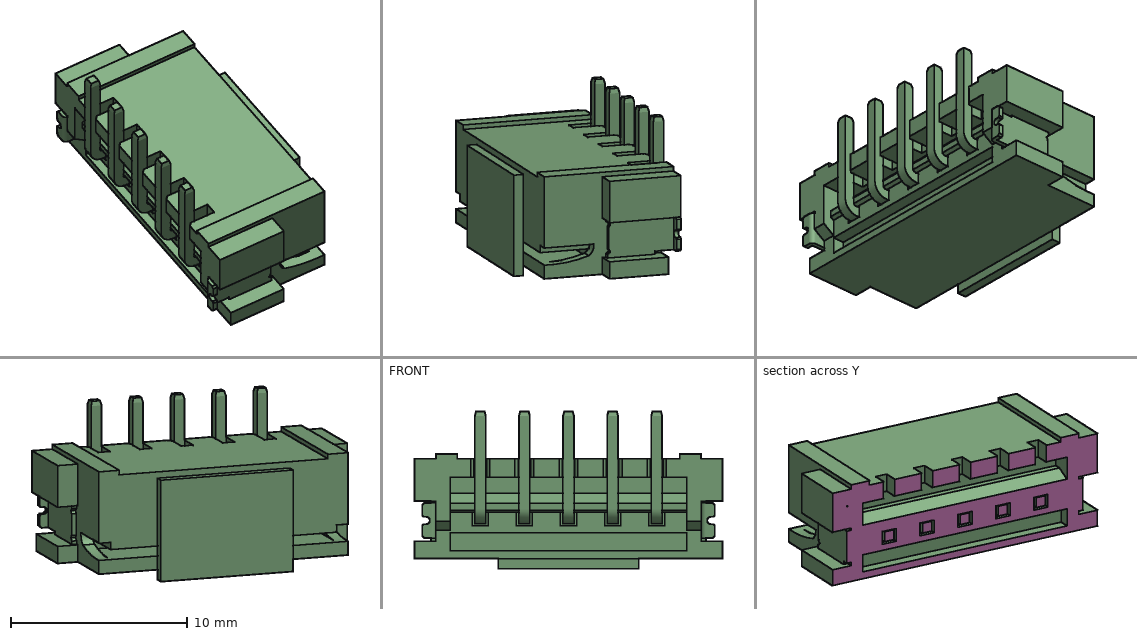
import cadquery as cq
import math


total_width = 17.5
body_width = 15.05
body_depth = 7.79
body_height = 5.69
lower_front = 0.74
step_bottom = 1.61
step_top = 2.12
rail_width = 1.22
rail_height = 0.26

wing_depth = 4.29
upper_wing_bottom = 3.27
lower_wing_top = 1.0

tab_width = 7.98
tab_thickness = 0.58
tab_bottom = -0.58
tab_top = 5.32

window_width = 13.44
window_top = 4.64
window_depth = 2.1
sill_front = 0.5
sill_back = 1.68
sill_back_z = 3.71
sill_front_z = 3.15
lip_bottom_z = 2.76
lower_wall_top = 2.62

groove_bottom = 0.45
groove_top = 1.47
groove_depth = 0.75

slot_floor = 0.8
slot_top = 1.8
slot_end = 4.8
slot_flat_start = 7.21
slot_curve_joint = (5.11, 1.15)
slot_curve_mid = (6.1, 0.91)
slot_end_mid = (4.86, 1.44)
inner_opening_top = 1.38
side_wall = 0.7

pin_count = 5
pin_pitch = 2.5
pin_size = 0.63
pin_front = -0.2
pin_top = 8.36
pin_bottom = 1.98
pin_bend_inner = 0.2
pin_tip_length = 0.26
pin_tip_inset = 0.07
pin_end = 3.5
pin_slot_width = 0.72
pin_slot_depth = 1.75
pin_slot_chamfer = 0.18
pin_hole_width = 0.91
pin_hole_bottom = 1.87
pin_hole_depth = 0.35

clip_thickness = 0.28
clip_bend_radius = 0.26
clip_back = 4.08
clip_wide_front = 1.22
clip_edge_inset = 0.07
clip_nick_depth = 0.18
clip_nick_lead = 0.2
clip_nick_height = 0.32
clip_front = -0.18
clip_bottom = 1.17
clip_top = 3.17
flange_outer = 8.31
flange_chamfer = 0.12
flange_notch_width = 0.4
flange_notch_depth = 0.44
flange_notch_lip = 0.09

half_body = body_width / 2
half_total = total_width / 2
pin_positions = [pin_pitch * (i - (pin_count - 1) / 2) for i in range(pin_count)]


def block(x_range, y_range, z_range):
    """Box between the given limits."""
    size = [high - low for low, high in (x_range, y_range, z_range)]
    corner = (x_range[0], y_range[0], z_range[0])
    return cq.Workplane("XY").box(*size, centered=False).translate(corner)


def centred_block(width, y_range, z_range, x=0):
    """Box of the given width centred on x."""
    return block((x - width / 2, x + width / 2), y_range, z_range)


def extrude_across(profile, width, x=0):
    """Extrude a closed YZ profile to a width centred on x."""
    return profile.extrude(width / 2, both=True).translate((x, 0, 0))


def both_sides(shape):
    """Shape together with its mirror image in X."""
    return shape.union(shape.mirror("YZ"))


def make_shell():
    profile = (
        cq.Workplane("YZ")
        .moveTo(lower_front, 0)
        .lineTo(body_depth, 0)
        .lineTo(body_depth, body_height)
        .lineTo(0, body_height)
        .lineTo(0, step_top)
        .lineTo(lower_front, step_bottom)
        .close()
    )
    rail = block(
        (half_body - rail_width, half_body),
        (0, body_depth),
        (body_height, body_height + rail_height),
    )
    upper_wing = block((half_body, half_total), (0, wing_depth), (upper_wing_bottom, body_height))
    lower_wing = block((half_body, half_total), (lower_front, wing_depth), (0, lower_wing_top))
    tab = centred_block(tab_width, (body_depth, body_depth + tab_thickness), (tab_bottom, tab_top))
    sides = both_sides(rail.union(upper_wing).union(lower_wing))
    return extrude_across(profile, body_width).union(sides).union(tab)


def make_window():
    """Recess behind the pins, shaped around the sloped sill and its lip."""
    profile = (
        cq.Workplane("YZ")
        .moveTo(0, window_top)
        .lineTo(window_depth, window_top)
        .lineTo(window_depth, sill_back_z)
        .lineTo(sill_back, sill_back_z)
        .lineTo(sill_front, sill_front_z)
        .lineTo(sill_front, lip_bottom_z)
        .lineTo(lower_front, lower_wall_top)
        .lineTo(lower_front, groove_top)
        .lineTo(0, groove_top)
        .close()
    )
    return extrude_across(profile, window_width)


def make_side_slots():
    profile = (
        cq.Workplane("YZ")
        .moveTo(body_depth, slot_floor)
        .lineTo(slot_flat_start, slot_floor)
        .threePointArc(slot_curve_mid, slot_curve_joint)
        .threePointArc(slot_end_mid, (slot_end, slot_top))
        .lineTo(body_depth, slot_top)
        .close()
    )
    slot = extrude_across(profile, side_wall, half_body - side_wall / 2)
    opening = centred_block(
        body_width - 2 * side_wall,
        (slot_end, body_depth),
        (slot_floor, inner_opening_top),
    )
    return both_sides(slot).union(opening)


def make_pin_slot(x):
    """Slot through the roof of the window, flared at the front face."""
    half_slot = pin_slot_width / 2
    half_mouth = half_slot + pin_slot_chamfer
    return (
        cq.Workplane("XY", origin=(x, 0, window_top))
        .moveTo(-half_mouth, 0)
        .lineTo(-half_slot, pin_slot_chamfer)
        .lineTo(-half_slot, pin_slot_depth)
        .lineTo(half_slot, pin_slot_depth)
        .lineTo(half_slot, pin_slot_chamfer)
        .lineTo(half_mouth, 0)
        .close()
        .extrude(body_height - window_top)
    )


def make_pin_hole(x):
    """Clearance pocket where a pin enters the lower wall."""
    return centred_block(
        pin_hole_width,
        (lower_front, lower_front + pin_hole_depth),
        (pin_hole_bottom, lower_wall_top),
        x,
    )


def make_pin(x):
    pin_back = pin_front + pin_size
    leg_top = pin_bottom + pin_size
    bend_outer = pin_bend_inner + pin_size
    bend_y = pin_front + bend_outer
    bend_z = pin_bottom + bend_outer
    diagonal = math.sqrt(0.5)
    shank_top = pin_top - pin_tip_length
    profile = (
        cq.Workplane("YZ")
        .moveTo(pin_front, shank_top)
        .lineTo(pin_front, bend_z)
        .threePointArc(
            (bend_y - bend_outer * diagonal, bend_z - bend_outer * diagonal),
            (bend_y, pin_bottom),
        )
        .lineTo(pin_end, pin_bottom)
        .lineTo(pin_end, leg_top)
        .lineTo(bend_y, leg_top)
        .threePointArc(
            (bend_y - pin_bend_inner * diagonal, bend_z - pin_bend_inner * diagonal),
            (pin_back, bend_z),
        )
        .lineTo(pin_back, shank_top)
        .close()
    )
    tip_size = pin_size - 2 * pin_tip_inset
    tip = (
        cq.Workplane("XY", origin=(x, pin_front + pin_size / 2, shank_top))
        .rect(pin_size, pin_size)
        .workplane(offset=pin_tip_length)
        .rect(tip_size, tip_size)
        .loft()
    )
    return extrude_across(profile, pin_size, x).union(tip)


def make_clip_plate():
    """Flat part of the right-hand clip, with two nicks in its back edge."""
    mid_edge = clip_back - clip_edge_inset
    nick_y = clip_back - clip_nick_depth
    upper_nick = upper_wing_bottom - clip_nick_lead
    lower_nick = lower_wing_top + clip_nick_lead
    bend_end = clip_front + clip_thickness
    return (
        cq.Workplane("YZ", origin=(half_body, 0, 0))
        .moveTo(bend_end, clip_bottom)
        .lineTo(clip_wide_front, clip_bottom)
        .lineTo(clip_wide_front, lower_wing_top)
        .lineTo(clip_back, lower_wing_top)
        .lineTo(clip_back, lower_nick)
        .lineTo(nick_y, lower_nick + clip_nick_height / 2)
        .lineTo(mid_edge, lower_nick + clip_nick_height)
        .lineTo(mid_edge, upper_nick - clip_nick_height)
        .lineTo(nick_y, upper_nick - clip_nick_height / 2)
        .lineTo(clip_back, upper_nick)
        .lineTo(clip_back, upper_wing_bottom)
        .lineTo(clip_wide_front, upper_wing_bottom)
        .lineTo(clip_wide_front, clip_top)
        .lineTo(bend_end, clip_top)
        .close()
        .extrude(clip_thickness)
    )


def make_clip_flange():
    """Outward flange of the right-hand clip, with a rounded bend and a solder notch."""
    flange_back = clip_front + clip_thickness
    flange = block((half_body, flange_outer), (clip_front, flange_back), (clip_bottom, clip_top))
    flange = flange.edges("|Z and <X and <Y").fillet(clip_bend_radius)
    flange = flange.edges("|Y and >X").chamfer(flange_chamfer)

    middle_z = (clip_bottom + clip_top) / 2
    half_notch = flange_notch_width / 2
    notch_root = flange_outer - flange_notch_depth
    mouth_start = flange_outer - flange_notch_lip
    half_mouth = half_notch + flange_notch_lip
    notch = (
        cq.Workplane("XZ", origin=(0, flange_back, middle_z))
        .moveTo(flange_outer, -half_mouth)
        .lineTo(mouth_start, -half_notch)
        .lineTo(notch_root + half_notch, -half_notch)
        .threePointArc((notch_root, 0), (notch_root + half_notch, half_notch))
        .lineTo(mouth_start, half_notch)
        .lineTo(flange_outer, half_mouth)
        .close()
        .extrude(clip_thickness)
    )
    return flange.cut(notch)


def make_housing():
    groove = centred_block(
        window_width,
        (lower_front, lower_front + groove_depth),
        (groove_bottom, groove_top),
    )
    housing = make_shell().cut(make_window()).cut(groove).cut(make_side_slots())
    for x in pin_positions:
        housing = housing.cut(make_pin_slot(x)).cut(make_pin_hole(x))
    return housing


result = make_housing().union(both_sides(make_clip_plate().union(make_clip_flange())))
for pin_x in pin_positions:
    result = result.union(make_pin(pin_x))